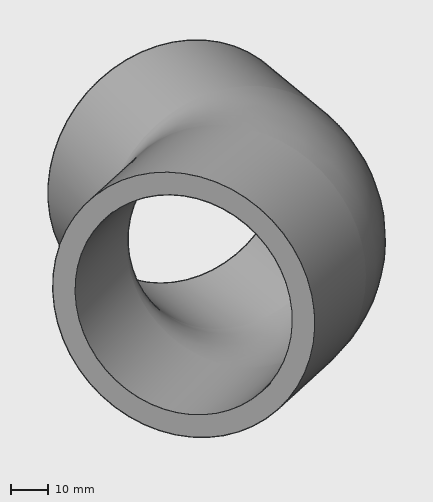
import cadquery as cq
import math

overall_length = 118.6
outer_diameter = 76.0
bore_diameter = 63.0
bend_angle = 45.0
inside_clearance = 0.06

outer_radius = outer_diameter / 2
bend_radius = outer_radius + inside_clearance
bend_sin = math.sin(math.radians(bend_angle))
bend_cos = math.cos(math.radians(bend_angle))

bend_reach = (bend_radius + outer_radius) * bend_sin
socket_length = (overall_length - bend_reach) / (1 + bend_cos)


def pipe(diameter):
    """Solid rod following the elbow centreline from +X towards -Y."""
    inlet = cq.Workplane("YZ").circle(diameter / 2).extrude(socket_length)
    bend = (
        cq.Workplane("YZ", origin=(socket_length, 0, 0))
        .circle(diameter / 2)
        .revolve(bend_angle, (-bend_radius, 0), (-bend_radius, -1))
    )
    bend_end = (
        socket_length + bend_radius * bend_sin,
        -bend_radius * (1 - bend_cos),
        0,
    )
    outlet_plane = cq.Plane(
        origin=bend_end, xDir=(0, 0, 1), normal=(bend_cos, -bend_sin, 0)
    )
    outlet = cq.Workplane(outlet_plane).circle(diameter / 2).extrude(socket_length)
    return inlet.union(bend).union(outlet)


result = pipe(outer_diameter).cut(pipe(bore_diameter))